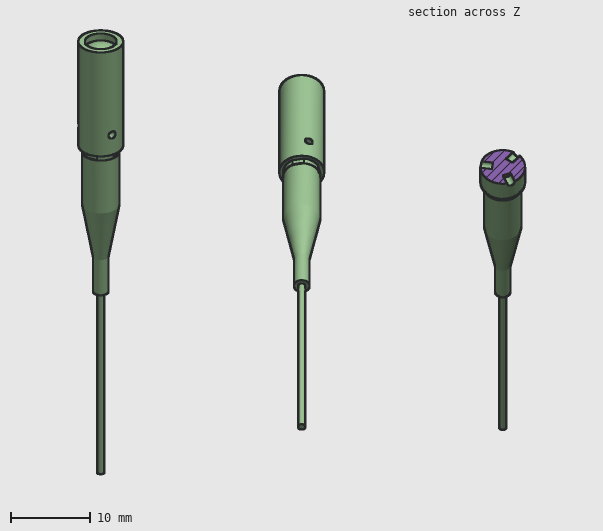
import cadquery as cq
import math

TOTAL_LENGTH = 62.7
SLEEVE_LENGTH = 15.1
COLLAR_LENGTH = 0.9
GRIP_LENGTH = 7.7
CONE_LENGTH = 7.6
TAIL_LENGTH = 5.1

SLEEVE_DIAMETER = 5.7
LENS_DIAMETER = 4.0
BOOT_DIAMETER = 4.75
TAIL_DIAMETER = 2.0
CABLE_DIAMETER = 0.95

LENS_EDGE_DEPTH = 1.0
LENS_DOME_HEIGHT = 0.6
LENS_ROD_LENGTH = 3.15

HOLE_COUNT = 3
HOLE_DIAMETER = 1.0
HOLE_DEPTH = 1.5
HOLE_HEIGHT_ABOVE_SLEEVE_BASE = 2.9
FIRST_HOLE_ANGLE = 90.0

COLLAR_WIDTH_ACROSS_FLATS = 4.5

SLEEVE_BASE = TOTAL_LENGTH - SLEEVE_LENGTH
COLLAR_BASE = SLEEVE_BASE - COLLAR_LENGTH
CONE_TOP = COLLAR_BASE - GRIP_LENGTH
CONE_BASE = CONE_TOP - CONE_LENGTH
TAIL_BASE = CONE_BASE - TAIL_LENGTH
LENS_EDGE = TOTAL_LENGTH - LENS_EDGE_DEPTH
LENS_BASE = LENS_EDGE - LENS_ROD_LENGTH


def cylinder(diameter, base, height):
    """Upright cylinder on the Z axis, standing at the given height."""
    return cq.Workplane("XY").workplane(offset=base).circle(diameter / 2).extrude(height)


def radial_hole(angle):
    """Cutter for one blind hole, drilled towards the axis at an angle from +X."""
    direction = cq.Vector(math.cos(math.radians(angle)), math.sin(math.radians(angle)), 0)
    mouth = direction * (SLEEVE_DIAMETER / 2)
    height = cq.Vector(0, 0, SLEEVE_BASE + HOLE_HEIGHT_ABOVE_SLEEVE_BASE)
    return cq.Solid.makeCylinder(HOLE_DIAMETER / 2, HOLE_DEPTH, mouth + height, -direction)


def make_sleeve():
    """Round housing with a lens pocket in its top and blind holes around its wall."""
    pocket = cylinder(LENS_DIAMETER, LENS_BASE, TOTAL_LENGTH - LENS_BASE)
    body = cylinder(SLEEVE_DIAMETER, SLEEVE_BASE, SLEEVE_LENGTH).cut(pocket)
    for index in range(HOLE_COUNT):
        angle = FIRST_HOLE_ANGLE + index * 360 / HOLE_COUNT
        body = body.cut(cq.Workplane(radial_hole(angle)))
    return body


def make_lens():
    """Lens rod with a domed front, filling the lower part of the sleeve pocket."""
    radius = LENS_DIAMETER / 2
    dome_radius = (radius**2 + LENS_DOME_HEIGHT**2) / (2 * LENS_DOME_HEIGHT)
    apex = LENS_EDGE + LENS_DOME_HEIGHT
    half_angle = math.asin(radius / dome_radius) / 2
    arc_middle = (
        dome_radius * math.sin(half_angle),
        apex - dome_radius * (1 - math.cos(half_angle)),
    )
    return (
        cq.Workplane("XZ")
        .moveTo(0, LENS_BASE)
        .lineTo(radius, LENS_BASE)
        .lineTo(radius, LENS_EDGE)
        .threePointArc(arc_middle, (0, apex))
        .close()
        .revolve(360, (0, 0, 0), (0, 1, 0))
    )


def make_collar():
    """Short round collar with four flats, between the sleeve and the boot."""
    flats = (
        cq.Workplane("XY")
        .workplane(offset=COLLAR_BASE)
        .rect(COLLAR_WIDTH_ACROSS_FLATS, COLLAR_WIDTH_ACROSS_FLATS)
        .extrude(COLLAR_LENGTH)
    )
    return cylinder(BOOT_DIAMETER, COLLAR_BASE, COLLAR_LENGTH).intersect(flats)


def make_boot():
    """Strain relief boot: a round grip that tapers down to a slim tail."""
    return (
        cq.Workplane("XZ")
        .moveTo(0, COLLAR_BASE)
        .lineTo(BOOT_DIAMETER / 2, COLLAR_BASE)
        .lineTo(BOOT_DIAMETER / 2, CONE_TOP)
        .lineTo(TAIL_DIAMETER / 2, CONE_BASE)
        .lineTo(TAIL_DIAMETER / 2, TAIL_BASE)
        .lineTo(0, TAIL_BASE)
        .close()
        .revolve(360, (0, 0, 0), (0, 1, 0))
    )


def make_cable():
    """Thin cable hanging from the tail of the boot."""
    return cylinder(CABLE_DIAMETER, 0, TAIL_BASE)


sleeve = make_sleeve()
lens = make_lens()
collar = make_collar()
boot = make_boot()
cable = make_cable()

result = cq.Compound.makeCompound(
    [sleeve.val(), lens.val(), collar.val(), boot.val(), cable.val()]
)